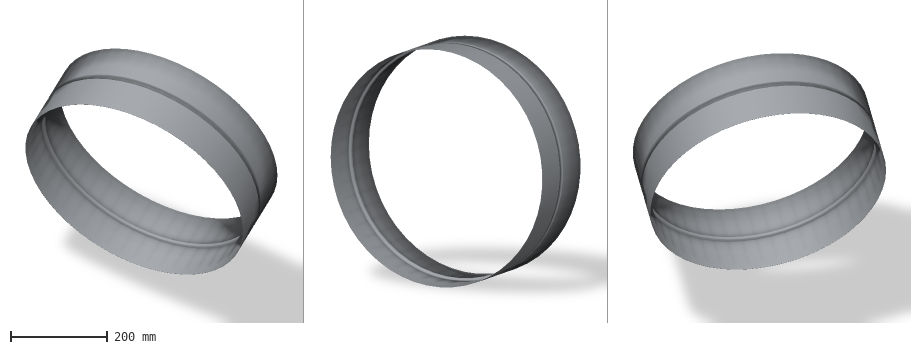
import cadquery as cq
import math

outer_radius = 251.0
length = 163.0
wall = 0.5
groove_depth = 5.0
shoulder_bend_radius = 1.75
root_bend_radius = 4.0
root_flat = 1.5
flank_angle = math.radians(57)

bend_radius_sum = shoulder_bend_radius + root_bend_radius
bends_run = bend_radius_sum * math.sin(flank_angle)
bends_drop = bend_radius_sum * (1 - math.cos(flank_angle))
flank_run = (groove_depth - bends_drop) / math.tan(flank_angle)
groove_half_width = bends_run + flank_run + root_flat / 2

middle_radius = outer_radius - wall / 2
shoulder_center_radius = middle_radius - shoulder_bend_radius
root_center_radius = middle_radius - groove_depth + root_bend_radius


def shoulder_point(angle, offset, side):
    """Point on a shoulder bend; offset is measured outward from the middle of the wall."""
    radius = shoulder_bend_radius + offset
    return (
        shoulder_center_radius + radius * math.cos(angle),
        side * (groove_half_width - radius * math.sin(angle)),
    )


def root_point(angle, offset, side):
    """Point on a root bend; offset is measured outward from the middle of the wall."""
    radius = root_bend_radius - offset
    return (
        root_center_radius - radius * math.cos(angle),
        side * (root_flat / 2 + radius * math.sin(angle)),
    )


def wall_edge(profile, offset, side):
    """Draw one face of the wall from the groove shoulder on the given side to the opposite one."""
    half_angle = flank_angle / 2
    return (
        profile.lineTo(*shoulder_point(0, offset, side))
        .threePointArc(shoulder_point(half_angle, offset, side), shoulder_point(flank_angle, offset, side))
        .lineTo(*root_point(flank_angle, offset, side))
        .threePointArc(root_point(half_angle, offset, side), root_point(0, offset, side))
        .lineTo(*root_point(0, offset, -side))
        .threePointArc(root_point(half_angle, offset, -side), root_point(flank_angle, offset, -side))
        .lineTo(*shoulder_point(flank_angle, offset, -side))
        .threePointArc(shoulder_point(half_angle, offset, -side), shoulder_point(0, offset, -side))
    )


inner_radius = outer_radius - wall
profile = cq.Workplane("XY").moveTo(outer_radius, -length / 2)
profile = wall_edge(profile, wall / 2, -1)
profile = profile.lineTo(outer_radius, length / 2).lineTo(inner_radius, length / 2)
profile = wall_edge(profile, -wall / 2, 1)
profile = profile.lineTo(inner_radius, -length / 2).close()

result = profile.revolve(360, (0, 0, 0), (0, 1, 0))